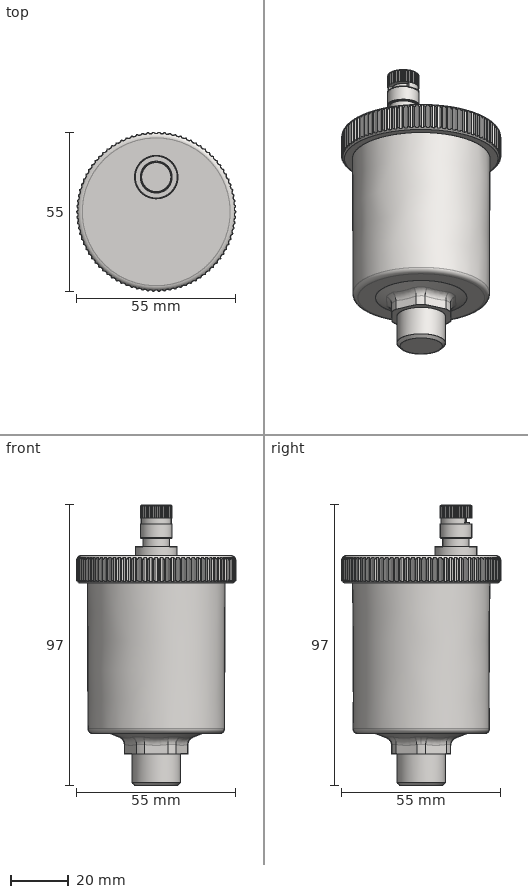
import cadquery as cq
import math


STUB_RADIUS = 8.4
STUB_LENGTH = 11.0
STUB_CHAMFER = 1.1

HEX_ACROSS_FLATS = 20.4
HEX_CORNER_RADIUS = 11.0

BODY_BOTTOM_Z = 18.0
BODY_BOTTOM_RADIUS = 23.6
BODY_TOP_RADIUS = 23.8
BODY_BOTTOM_FILLET = 1.7

CONE_TOP_RADIUS = 15.8
CONE_BOTTOM_RADIUS = 9.0
CONE_HEIGHT = 2.7
HEX_BLEND_RADIUS = 2.7

KNURL_MARGIN = 0.05

CAP_BOTTOM_Z = 70.0
CAP_TOP_Z = 79.6
CAP_RADIUS = 27.5
CAP_TOP_FILLET = 2.0
CAP_BOTTOM_CHAMFER = 1.0
CAP_TEETH = 90
CAP_TOOTH_DEPTH = 0.4
CAP_TIP_FRACTION = 0.1
CAP_ROOT_FRACTION = 0.4

VALVE_Y = 12.0
FLANGE_RADIUS = 7.25
FLANGE_GAP = 0.25
FLANGE_GAP_DEPTH = 1.0
FLANGE_TOP_Z = 82.6
STEM_RADIUS = 4.6
COLLAR_BOTTOM_Z = 85.5
COLLAR_TOP_Z = 90.5
COLLAR_RADIUS = 5.5
COLLAR_CHAMFER = 0.25
NECK_RADIUS = 5.2
KNOB_BOTTOM_Z = 92.45
KNOB_TOP_Z = 97.02
KNOB_RADIUS = 5.5
KNOB_TOP_CHAMFER = 0.5
KNOB_TEETH = 24
KNOB_TOOTH_DEPTH = 0.25
KNOB_TIP_FRACTION = 0.15
KNOB_ROOT_FRACTION = 0.2

OUTLET_CORE_RADIUS = 3.6
OUTLET_HALF_ANGLE = 53.5
LIP_RADIUS = 4.7
LIP_HEIGHT = 0.5


def cylinder(radius, bottom_z, top_z):
    return cq.Workplane("XY").workplane(offset=bottom_z).circle(radius).extrude(top_z - bottom_z)


def frustum(bottom_radius, top_radius, bottom_z, top_z):
    profile = [(0, bottom_z), (bottom_radius, bottom_z), (top_radius, top_z), (0, top_z)]
    return cq.Workplane("XZ").polyline(profile).close().revolve(360, (0, 0, 0), (0, 1, 0))


def knurled_prism(radius, depth, teeth, tip_fraction, root_fraction, bottom_z, top_z):
    """Prism with straight teeth; the first tooth is centred on +X.

    The tip and root fractions are the shares of one pitch taken by the flat tip and flat root.
    """
    pitch = 2 * math.pi / teeth
    half_tip = tip_fraction * pitch / 2
    half_root = root_fraction * pitch / 2
    outline = []
    for tooth in range(teeth):
        tip_angle = tooth * pitch
        root_angle = tip_angle + pitch / 2
        corners = (
            (radius, tip_angle - half_tip),
            (radius, tip_angle + half_tip),
            (radius - depth, root_angle - half_root),
            (radius - depth, root_angle + half_root),
        )
        for distance, angle in corners:
            outline.append((distance * math.cos(angle), distance * math.sin(angle)))
    return cq.Workplane("XY").workplane(offset=bottom_z).polyline(outline).close().extrude(top_z - bottom_z)


def make_stub():
    return cylinder(STUB_RADIUS, 0, STUB_LENGTH).faces("<Z").chamfer(STUB_CHAMFER)


def make_body():
    """Slightly tapered body with a shallow cone underneath that blends into the hexagon."""
    taper_body = (
        frustum(BODY_BOTTOM_RADIUS, BODY_TOP_RADIUS, BODY_BOTTOM_Z, CAP_BOTTOM_Z)
        .faces("<Z")
        .edges()
        .fillet(BODY_BOTTOM_FILLET)
    )
    cone = frustum(CONE_BOTTOM_RADIUS, CONE_TOP_RADIUS, BODY_BOTTOM_Z - CONE_HEIGHT, BODY_BOTTOM_Z)
    hexagon = (
        cq.Workplane("XY")
        .workplane(offset=STUB_LENGTH)
        .polygon(6, HEX_ACROSS_FLATS / math.cos(math.pi / 6))
        .extrude(BODY_BOTTOM_Z - STUB_LENGTH)
        .intersect(cylinder(HEX_CORNER_RADIUS, STUB_LENGTH, BODY_BOTTOM_Z))
    )
    margin = 0.1
    reach = HEX_CORNER_RADIUS + margin
    joint = cq.selectors.BoxSelector(
        (-reach, -reach, STUB_LENGTH + margin), (reach, reach, BODY_BOTTOM_Z - margin), boundingbox=True
    )
    return taper_body.union(cone).union(hexagon).edges(joint).fillet(HEX_BLEND_RADIUS)


def make_cap():
    """Knurled cap with a narrow gap in its top face around the valve flange."""
    blank = (
        cylinder(CAP_RADIUS + KNURL_MARGIN, CAP_BOTTOM_Z, CAP_TOP_Z)
        .faces(">Z")
        .edges()
        .fillet(CAP_TOP_FILLET)
        .faces("<Z")
        .edges()
        .chamfer(CAP_BOTTOM_CHAMFER)
    )
    teeth = knurled_prism(
        CAP_RADIUS,
        CAP_TOOTH_DEPTH,
        CAP_TEETH,
        CAP_TIP_FRACTION,
        CAP_ROOT_FRACTION,
        CAP_BOTTOM_Z,
        CAP_TOP_Z,
    )
    flange_gap = (
        cq.Workplane("XY")
        .workplane(offset=CAP_TOP_Z)
        .center(0, VALVE_Y)
        .circle(FLANGE_RADIUS + FLANGE_GAP)
        .circle(FLANGE_RADIUS)
        .extrude(-FLANGE_GAP_DEPTH)
    )
    return blank.intersect(teeth).cut(flange_gap)


def make_knob():
    blank = cylinder(KNOB_RADIUS + KNURL_MARGIN, KNOB_BOTTOM_Z, KNOB_TOP_Z)
    blank = blank.faces(">Z").chamfer(KNOB_TOP_CHAMFER)
    teeth = knurled_prism(
        KNOB_RADIUS,
        KNOB_TOOTH_DEPTH,
        KNOB_TEETH,
        KNOB_TIP_FRACTION,
        KNOB_ROOT_FRACTION,
        KNOB_BOTTOM_Z,
        KNOB_TOP_Z,
    )
    return blank.intersect(teeth)


def make_neck():
    """Neck under the knob, recessed on its +Y side around a thinner core with a low lip."""
    reach = 2 * NECK_RADIUS
    angle = math.radians(OUTLET_HALF_ANGLE)
    side_x = reach * math.sin(angle)
    side_y = reach * math.cos(angle)
    sector = (
        cq.Workplane("XY")
        .workplane(offset=COLLAR_TOP_Z)
        .polyline([(0, 0), (side_x, side_y), (0, reach), (-side_x, side_y)])
        .close()
        .extrude(KNOB_BOTTOM_Z - COLLAR_TOP_Z)
    )
    core = cylinder(OUTLET_CORE_RADIUS, COLLAR_TOP_Z, KNOB_BOTTOM_Z)
    lip = cylinder(LIP_RADIUS, COLLAR_TOP_Z, COLLAR_TOP_Z + LIP_HEIGHT)
    return cylinder(NECK_RADIUS, COLLAR_TOP_Z, KNOB_BOTTOM_Z).cut(sector).union(core).union(lip)


def make_valve():
    flange = cylinder(FLANGE_RADIUS, CAP_TOP_Z, FLANGE_TOP_Z)
    stem = cylinder(STEM_RADIUS, FLANGE_TOP_Z, COLLAR_BOTTOM_Z)
    collar = cylinder(COLLAR_RADIUS, COLLAR_BOTTOM_Z, COLLAR_TOP_Z)
    collar = collar.faces("<Z").chamfer(COLLAR_CHAMFER)
    valve = flange.union(stem).union(collar).union(make_neck()).union(make_knob())
    return valve.translate((0, VALVE_Y, 0))


result = make_stub().union(make_body()).union(make_cap()).union(make_valve())